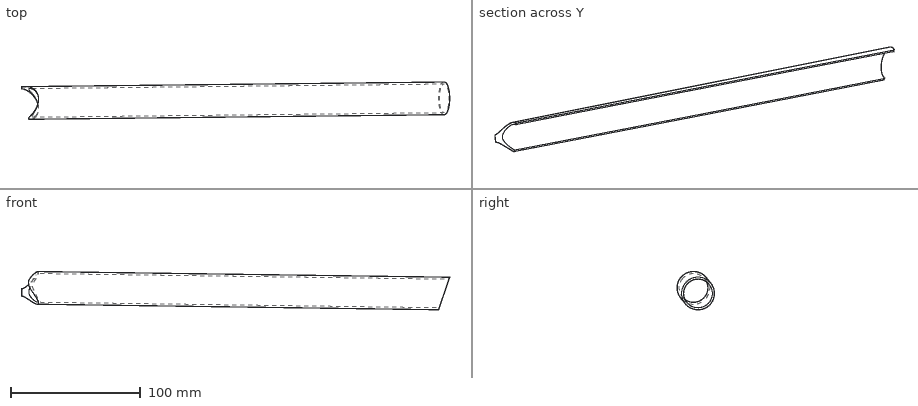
import cadquery as cq

outer_diameter = 25.4
wall = 1.65
axis_run = 325.73
axis_rise_y = 3.6
axis_drop_z = 4.5

cope_radius = 13.0
cope_roll = -17.5
cope_offset_y = -0.7

mitre_angle = 18.9

trim_stock = 40.0
cutter_size = 120.0

axis_vector = cq.Vector(axis_run, axis_rise_y, -axis_drop_z)


def make_tube():
    """Straight round tube along the tilted axis, longer than the part at both ends."""
    direction = axis_vector.normalized()
    start = direction * -trim_stock
    length = axis_vector.Length + 2 * trim_stock
    section_plane = cq.Plane(origin=start.toTuple(), xDir=(0, -1, 0), normal=direction.toTuple())
    outer_radius = outer_diameter / 2
    section = cq.Workplane(section_plane).circle(outer_radius).circle(outer_radius - wall)
    return section.extrude(length)


def make_cutter_block(side):
    """Cube lying entirely on one side of X = 0: side -1 is low X, side +1 is high X."""
    cube = cq.Workplane("XY").box(cutter_size, cutter_size, cutter_size)
    return cube.translate((side * cutter_size / 2, 0, 0))


def make_cope_cutter():
    """Cylinder across the tube, rolled about X, joined to the block beyond its axis."""
    cylinder = cq.Workplane("XY").circle(cope_radius).extrude(cutter_size / 2, both=True)
    cutter = cylinder.union(make_cutter_block(-1))
    return cutter.rotate((0, 0, 0), (1, 0, 0), cope_roll).translate((0, cope_offset_y, 0))


def make_mitre_cutter():
    """Block beyond the flat mitre, which leaves the top of the tube longer than the bottom."""
    leaning_block = make_cutter_block(1).rotate((0, 0, 0), (0, 1, 0), mitre_angle)
    return leaning_block.translate(axis_vector.toTuple())


result = make_tube().cut(make_cope_cutter()).cut(make_mitre_cutter())